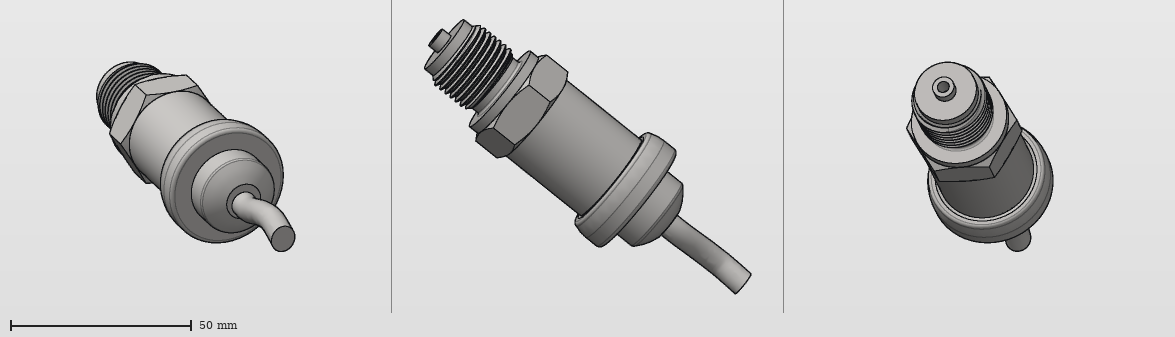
import cadquery as cq
import math


total_length = 109.7
spigot_start = 3.1
spigot_end = 6.0
flange_start = 22.9
hex_start = 25.8
hex_width = 10.0
cap_start = 62.5
seat_depth = 5.0
rim_start = 67.5
rim_end = 72.4
dome_end = 83.1

port_diameter = 6.0
port_bore_diameter = 3.3
port_bore_depth = 6.6
spigot_diameter = 17.5
neck_diameter = 18.0
neck_fillet = 0.8
body_diameter = 26.9
stub_diameter = 25.6
hex_sides = 6
hex_across_flats = 27.0
hex_chamfer_angle = 30.0

thread_diameter = 21.0
thread_root_diameter = 18.7
thread_end = 20.2
thread_half_angle = 27.5
groove_start = 5.2
groove_length = 16.3
groove_turns = 9
thread_pitch = groove_length / groove_turns
groove_overshoot = 0.2

cap_diameter = 34.5
cap_nose_diameter = 32.9
cap_nose_fillet = 1.0
cap_mouth_diameter = 28.7
cap_mouth_depth = 1.0
cap_back_fillet = 1.1
boss_diameter = 22.3
dome_end_diameter = 10.3
dome_radius = 15.3
boss_fillet = 1.0

cable_diameter = 7.1
cable_overrun = 2.2
cable_points = [
    (dome_end, -0.8),
    (85.6, -1.0),
    (92.5, 0.8),
    (99.7, 2.3),
    (total_length + cable_overrun, -1.1),
]
cable_start_slope = (1.0, -0.1)
cable_end_slope = (1.0, -0.4)


def rod(start, end, diameter):
    """Cylinder on the X axis."""
    return cq.Workplane("YZ", origin=(start, 0, 0)).circle(diameter / 2).extrude(end - start)


def revolve_about_x(profile):
    """Solid of revolution of a closed outline in the XY plane."""
    return profile.close().revolve(360, (0, 0, 0), (1, 0, 0))


def make_thread_blank():
    """Thread cylinder with 45 degree cones down to the spigot and to the neck."""
    spigot_radius = spigot_diameter / 2
    neck_radius = neck_diameter / 2
    crest_radius = thread_diameter / 2
    profile = (
        cq.Workplane("XY")
        .moveTo(spigot_end, 0)
        .lineTo(spigot_end, spigot_radius)
        .lineTo(spigot_end + crest_radius - spigot_radius, crest_radius)
        .lineTo(thread_end - crest_radius + neck_radius, crest_radius)
        .lineTo(thread_end, neck_radius)
        .lineTo(thread_end, 0)
    )
    return revolve_about_x(profile)


def make_groove_turn(start):
    """One right-hand turn of the thread groove, bounded by surfaces ruled between helices."""
    root_radius = thread_root_diameter / 2
    outer_radius = thread_diameter / 2 + groove_overshoot
    flank_slope = math.tan(math.radians(thread_half_angle))
    flank_width = (thread_diameter - thread_root_diameter) / 2 * flank_slope
    root_half_width = (thread_pitch - 2 * flank_width) / 4
    outer_half_width = root_half_width + (outer_radius - root_radius) * flank_slope
    section = [
        cq.Vector(root_radius, 0, -root_half_width),
        cq.Vector(outer_radius, 0, -outer_half_width),
        cq.Vector(outer_radius, 0, outer_half_width),
        cq.Vector(root_radius, 0, root_half_width),
    ]
    helices = [
        cq.Wire.makeHelix(thread_pitch, thread_pitch, corner.x).translate(cq.Vector(0, 0, corner.z))
        for corner in section
    ]
    faces = []
    for index, helix in enumerate(helices):
        faces.extend(cq.Face.makeRuledSurface(helices[index - 1], helix).Faces())
    end_face = cq.Face.makeFromWires(cq.Wire.makePolygon(section, close=True))
    faces.append(end_face)
    faces.append(end_face.translate(cq.Vector(0, 0, thread_pitch)))
    turn = cq.Solid.makeSolid(cq.Shell.makeShell(faces))
    return turn.rotate((0, 0, 0), (0, 1, 0), 90).translate(cq.Vector(start, 0, 0))


def make_thread():
    """Thread blank with the helical groove cut turn by turn, running out past both ends."""
    thread = make_thread_blank()
    for turn in range(groove_turns):
        thread = thread.cut(cq.Workplane(make_groove_turn(groove_start + turn * thread_pitch)))
    return thread


def make_neck_fillet():
    """Concave ring between the neck and the flange face."""
    neck_radius = neck_diameter / 2
    sag = neck_fillet * math.sqrt(0.5)
    profile = (
        cq.Workplane("XY")
        .moveTo(flange_start - neck_fillet, 0)
        .lineTo(flange_start - neck_fillet, neck_radius)
        .threePointArc(
            (flange_start - neck_fillet + sag, neck_radius + neck_fillet - sag),
            (flange_start, neck_radius + neck_fillet),
        )
        .lineTo(flange_start, 0)
    )
    return revolve_about_x(profile)


def make_hexagon():
    """Wrench hexagon with flats facing +Z and -Z and turned chamfers on both ends."""
    corner_diameter = hex_across_flats / math.cos(math.pi / hex_sides)
    corner_radius = corner_diameter / 2
    flat_radius = hex_across_flats / 2
    hex_end = hex_start + hex_width
    chamfer = (corner_radius - flat_radius) * math.tan(math.radians(hex_chamfer_angle))
    prism = cq.Workplane("YZ", origin=(hex_start, 0, 0)).polygon(hex_sides, corner_diameter).extrude(hex_width)
    turned = revolve_about_x(
        cq.Workplane("XY")
        .moveTo(hex_start, 0)
        .lineTo(hex_start, flat_radius)
        .lineTo(hex_start + chamfer, corner_radius)
        .lineTo(hex_end - chamfer, corner_radius)
        .lineTo(hex_end, flat_radius)
        .lineTo(hex_end, 0)
    )
    return prism.intersect(turned)


def make_housing():
    return (
        rod(flange_start, cap_start, body_diameter)
        .union(rod(cap_start, cap_start + seat_depth, stub_diameter))
        .union(make_hexagon())
        .union(make_neck_fillet())
        .union(rod(thread_end, flange_start, neck_diameter))
        .union(make_thread())
        .union(rod(spigot_start, spigot_end, spigot_diameter))
        .union(rod(0, spigot_start, port_diameter))
        .cut(rod(0, port_bore_depth, port_bore_diameter))
    )


def make_cable():
    """Bent round cable of constant section, its free end cut square to X."""
    start_x, start_z = cable_points[0]
    path = cq.Workplane("XZ").spline(cable_points, tangents=[cable_start_slope, cable_end_slope])
    section = cq.Workplane("YZ", origin=(start_x, 0, start_z)).circle(cable_diameter / 2)
    cable = section.sweep(path)
    return cable.intersect(rod(dome_end, total_length, cap_diameter))


def make_cap():
    """Cap with a rounded collar over the housing, a domed boss and the cable."""
    nose_radius = cap_nose_diameter / 2
    rim_radius = cap_diameter / 2
    stub_radius = stub_diameter / 2
    boss_radius = boss_diameter / 2
    dome_end_radius = dome_end_diameter / 2
    dome_centre = dome_end - math.sqrt(dome_radius**2 - dome_end_radius**2)
    dome_start = dome_centre + math.sqrt(dome_radius**2 - boss_radius**2)
    dome_middle_radius = (boss_radius + dome_end_radius) / 2
    dome_middle = dome_centre + math.sqrt(dome_radius**2 - dome_middle_radius**2)
    nose_end = cap_start + cap_nose_fillet
    nose_length = rim_start - nose_end
    nose_rise = rim_radius - nose_radius
    nose_arc_radius = (nose_length**2 + nose_rise**2) / (2 * nose_rise)
    nose_middle = (nose_end + rim_start) / 2
    nose_arc_height = math.sqrt(nose_arc_radius**2 - (nose_length / 2) ** 2)
    nose_middle_radius = rim_radius - nose_arc_radius + nose_arc_height
    profile = (
        cq.Workplane("XY")
        .moveTo(cap_start, 0)
        .lineTo(cap_start, nose_radius - cap_nose_fillet)
        .tangentArcPoint((nose_end, nose_radius), relative=False)
        .threePointArc((nose_middle, nose_middle_radius), (rim_start, rim_radius))
        .lineTo(rim_end - cap_back_fillet, rim_radius)
        .tangentArcPoint((rim_end, rim_radius - cap_back_fillet), relative=False)
        .lineTo(rim_end, boss_radius)
        .lineTo(dome_start, boss_radius)
        .threePointArc((dome_middle, dome_middle_radius), (dome_end, dome_end_radius))
        .lineTo(dome_end, 0)
    )
    cap = revolve_about_x(profile)
    cap = cap.edges(cq.NearestToPointSelector((dome_start, 0, 0))).fillet(boss_fillet)
    bore_mouth = cq.Workplane("XY").polyline([
        (cap_start, 0),
        (cap_start, cap_mouth_diameter / 2),
        (cap_start + cap_mouth_depth, stub_radius),
        (cap_start + cap_mouth_depth, 0),
    ])
    bore = rod(cap_start, cap_start + seat_depth, stub_diameter).union(revolve_about_x(bore_mouth))
    return cap.cut(bore).union(make_cable())


housing = make_housing()
cap = make_cap()
result = cq.Compound.makeCompound([housing.val(), cap.val()])